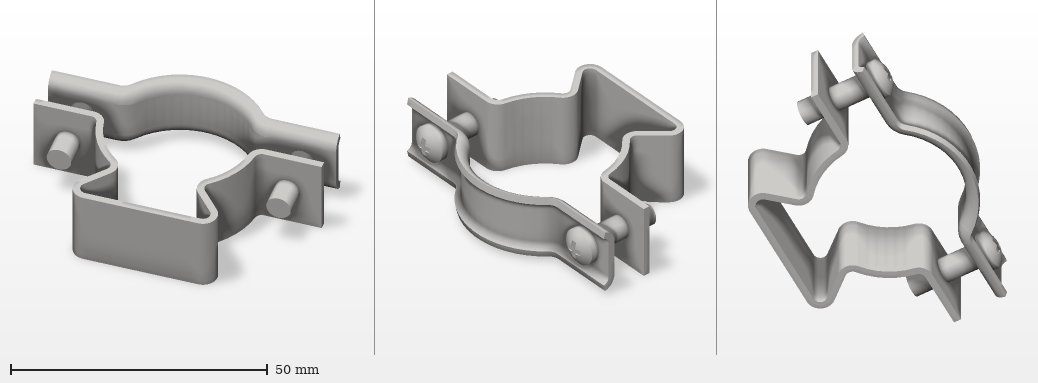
import cadquery as cq
import math

clamp_length = 59.0
base_width = 16.0
sheet = 1.5
pipe_radius = 15.0
pipe_axis = (0, 0)
half_length = clamp_length / 2

base_depth = 24.5
bend_inner_radius = 1.5
bend_outer_radius = bend_inner_radius + sheet
bend_radius = bend_inner_radius + sheet / 2
foot_flat_half = 11.8
waist_center_x = 11.15

strap_face_y = 7.5
strap_bend_radius = 5.0
channel_flat_half = 4.0
channel_inner_radius = 1.6
channel_arc_angle = 77.0

screw_spacing = 44.95
screw_positions = [-screw_spacing / 2, screw_spacing / 2]
shank_radius = 5.0 / 2
shank_length = 16.0
head_radius = 3.9
head_rim = 1.6
head_dome = 1.6
slot_width = 1.2
slot_depth = 0.35
head_seat_y = strap_face_y + sheet


def mirrored(points):
    """The same points reflected to +X, listed in reverse order."""
    return [(-x, y) for x, y in reversed(points)]


def point_between(start, end, distance):
    """The point at a distance from start, on the straight line to end."""
    share = distance / math.dist(start, end)
    return tuple(a + share * (b - a) for a, b in zip(start, end))


def bent_path(left_points, kinds):
    """Path along left_points and their mirror image, one kind of segment per step."""
    points = left_points + mirrored(left_points)
    path = cq.Workplane("XY").moveTo(*points[0])
    for kind, point in zip(kinds, points[1:]):
        if kind == "line":
            path = path.lineTo(*point)
        else:
            path = path.tangentArcPoint(point, relative=False)
    return path


def drill_screw_holes(body):
    """Holes along Y that fit the screw shanks and pass right through the sheet."""
    for x in screw_positions:
        hole = cq.Workplane("XZ", origin=(x, 0, 0)).circle(shank_radius).extrude(shank_length, both=True)
        body = body.cut(hole)
    return body


def make_base():
    center_distance = pipe_radius + bend_outer_radius
    flange_center = (-math.sqrt(center_distance**2 - bend_outer_radius**2), -bend_outer_radius)
    waist_center = (-waist_center_x, -math.sqrt(center_distance**2 - waist_center_x**2))
    foot_center = (-foot_flat_half, bend_outer_radius - base_depth)

    rise_angle = math.atan2(waist_center[1] - foot_center[1], waist_center[0] - foot_center[0])
    leg_angle = rise_angle - math.asin(2 * bend_radius / math.dist(foot_center, waist_center))
    leg_normal = (bend_radius * math.sin(leg_angle), -bend_radius * math.cos(leg_angle))
    leg_top = (waist_center[0] + leg_normal[0], waist_center[1] + leg_normal[1])
    leg_bottom = (foot_center[0] - leg_normal[0], foot_center[1] - leg_normal[1])

    flange_y = -sheet / 2
    left_points = [
        (-half_length, flange_y),
        (flange_center[0], flange_y),
        point_between(flange_center, pipe_axis, bend_radius),
        point_between(waist_center, pipe_axis, bend_radius),
        leg_top,
        leg_bottom,
        (-foot_flat_half, sheet / 2 - base_depth),
    ]
    half_kinds = ["line", "arc", "arc", "arc", "line", "arc"]
    path = bent_path(left_points, half_kinds + ["line"] + half_kinds[::-1])
    section = cq.Workplane("YZ", origin=(-half_length, flange_y, 0)).rect(sheet, base_width)
    return drill_screw_holes(section.sweep(path))


def channel_section():
    """Flat web with a rounded side at each edge, curling away from the pipe."""
    outer_radius = channel_inner_radius + sheet

    def side_point(radius, degrees, side):
        """A point on one of the side arcs, its angle counted from the web."""
        angle = math.radians(degrees)
        y = outer_radius - radius * math.cos(angle)
        return (y, side * (channel_flat_half + radius * math.sin(angle)))

    mid_angle = channel_arc_angle / 2
    section = cq.Workplane("YZ", origin=(-half_length, strap_face_y, 0))
    section = section.moveTo(*side_point(outer_radius, 0, -1)).lineTo(*side_point(outer_radius, 0, 1))
    section = section.threePointArc(
        side_point(outer_radius, mid_angle, 1), side_point(outer_radius, channel_arc_angle, 1)
    )
    section = section.lineTo(*side_point(channel_inner_radius, channel_arc_angle, 1))
    section = section.threePointArc(
        side_point(channel_inner_radius, mid_angle, 1), side_point(channel_inner_radius, 0, 1)
    )
    section = section.lineTo(*side_point(channel_inner_radius, 0, -1))
    section = section.threePointArc(
        side_point(channel_inner_radius, mid_angle, -1),
        side_point(channel_inner_radius, channel_arc_angle, -1),
    )
    section = section.lineTo(*side_point(outer_radius, channel_arc_angle, -1))
    section = section.threePointArc(side_point(outer_radius, mid_angle, -1), side_point(outer_radius, 0, -1))
    return section.close()


def make_strap():
    bend_y = strap_face_y + strap_bend_radius
    bend_center = (-math.sqrt((pipe_radius + strap_bend_radius) ** 2 - bend_y**2), bend_y)
    left_points = [
        (-half_length, strap_face_y),
        (bend_center[0], strap_face_y),
        point_between(bend_center, pipe_axis, strap_bend_radius),
    ]
    path = bent_path(left_points, ["line", "arc", "arc", "arc", "line"])
    return drill_screw_holes(channel_section().sweep(path))


def make_screw(x):
    """Round-headed screw pointing to -Y, seated in the strap channel, with a cross slot in its head."""
    rim_y = head_seat_y + head_rim
    dome_y = rim_y + head_dome
    tip_y = head_seat_y - shank_length
    dome_radius = (head_radius**2 + head_dome**2) / (2 * head_dome)
    half_dome_angle = math.asin(head_radius / dome_radius) / 2
    dome_mid = (
        dome_radius * math.sin(half_dome_angle),
        dome_y - dome_radius * (1 - math.cos(half_dome_angle)),
    )
    profile = (
        cq.Workplane("XY")
        .moveTo(0, tip_y)
        .lineTo(shank_radius, tip_y)
        .lineTo(shank_radius, head_seat_y)
        .lineTo(head_radius, head_seat_y)
        .lineTo(head_radius, rim_y)
        .threePointArc(dome_mid, (0, dome_y))
        .close()
    )
    screw = profile.revolve(360, (0, 0, 0), (0, 1, 0))
    for slot_size in [(2 * head_radius, slot_width), (slot_width, 2 * head_radius)]:
        slot = cq.Workplane("XZ", origin=(0, dome_y, 0)).rect(*slot_size).extrude(slot_depth)
        screw = screw.cut(slot)
    return screw.translate((x, 0, 0))


base = make_base()
strap = make_strap()
screws = [make_screw(x) for x in screw_positions]

result = cq.Compound.makeCompound([base.val(), strap.val(), *[screw.val() for screw in screws]])